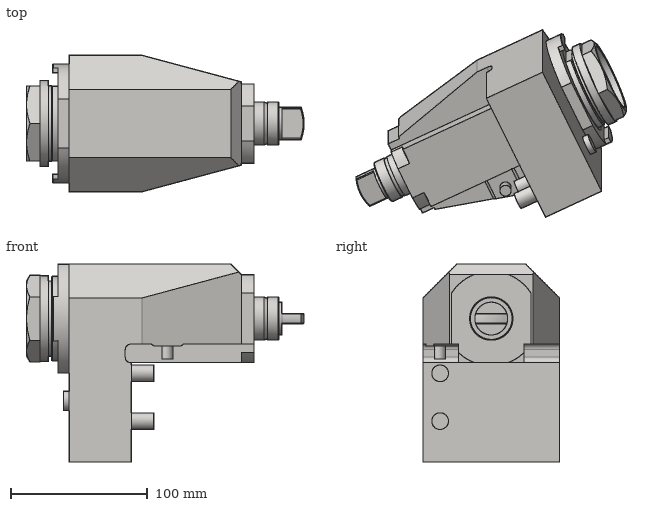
import cadquery as cq
import math


width = 100.0
half_width = width / 2
height = 145.0
axis_to_top = 40.0
axis_to_base = height - axis_to_top
leg_length = 45.5
body_end = 126.0
body_bottom = -18.7
top_bevel = 25.0
front_bevel = 7.7
taper_start = 53.2
taper_angle = 15
taper_drop = (body_end - taper_start) * math.tan(math.radians(taper_angle))

keel_half_width = 24.0
keel_bottom = -32.3
relief_start = 41.0
relief_radius = 4.0

nose_end = 135.3
nose_radius = 34.5
nose_half_height = 32.0
nose_half_width = 29.0
sleeve_radius = 15.8
sleeve_end = 153.3
sleeve_chamfer = 0.6
groove_start = 142.4
groove_end = 145.0
groove_depth = 1.0

flange_thickness = 8.1
flange_radius = 43.7
flange_half_height = 39.8
lug_length = 3.9
lug_inner = 37.0
lug_half_height = 16.2
lug_chamfer = 0.5

stud_radius = 6.0
stud_length = 16.5
stud_y = -37.4
stud_heights = (-40.0, -75.0)
button_radius = 7.1
button_length = 4.3
button_y = -25.0
button_z = -60.1
pin_radius = 4.0
pin_x = 72.0
pin_y = -37.4
pin_bottom = -29.7
pad_root_length = 23.5
pad_face_length = 20.0
pad_height = 1.2

spindle_rear = -31.3
spindle_radius = 12.0
seat_radius = 32.3
hex_across_flats = 55.0
hex_front = -21.3
hex_face_radius = 27.2
hex_chamfer_angle = 30
recess_radius = 24.4
recess_depth = 5.0
recess_chamfer = 0.5
collar_radius = 31.5
collar_front = -15.2
neck_radius = 27.6
neck_front = -13.0
ring_radius = 31.0
ring_chamfer = 0.8
ring_half_flats = 27.5
spindle_front = 155.5

tang_tip = 171.8
tang_half_height = 3.9
tang_bulge = 2.2
tang_chamfer = 0.6


def cylinder_x(radius, x_start, x_end, y=0, z=0):
    """Solid cylinder parallel to the X axis."""
    disc = cq.Workplane("YZ", origin=(x_start, y, z)).circle(radius)
    return disc.extrude(x_end - x_start)


def block(x_range, y_range, z_range):
    """Rectangular block given by its limits along each axis."""
    lows, highs = zip(x_range, y_range, z_range)
    size = [high - low for low, high in zip(lows, highs)]
    return cq.Workplane("XY").box(*size, centered=False).translate(lows)


def turned(profile):
    """Solid of revolution about the X axis from (x, radius) points."""
    outline = cq.Workplane("XY").polyline(profile).close()
    return outline.revolve(360, (0, 0, 0), (1, 0, 0))


def make_block():
    """L-shaped side outline, trimmed by the tapered plan and the bevelled roof."""
    side = (
        cq.Workplane("XZ", origin=(0, half_width, 0))
        .moveTo(0, -axis_to_base)
        .lineTo(leg_length, -axis_to_base)
        .lineTo(leg_length, body_bottom)
        .lineTo(body_end, body_bottom)
        .lineTo(body_end, axis_to_top - front_bevel)
        .lineTo(body_end - front_bevel, axis_to_top)
        .lineTo(0, axis_to_top)
        .close()
        .extrude(width)
    )
    end_half_width = half_width - taper_drop
    plan = (
        cq.Workplane("XY", origin=(0, 0, -axis_to_base))
        .moveTo(0, -half_width)
        .lineTo(taper_start, -half_width)
        .lineTo(body_end, -end_half_width)
        .lineTo(body_end, end_half_width)
        .lineTo(taper_start, half_width)
        .lineTo(0, half_width)
        .close()
        .extrude(height)
    )
    roof = block((0, body_end), (-half_width, half_width), (-axis_to_base, axis_to_top))
    roof = roof.edges("|X and >Z").chamfer(top_bevel)
    return side.intersect(plan).intersect(roof)


def make_relief():
    """Round-cornered channel across the leg, left open towards the nose."""
    channel = block((relief_start, body_end), (-half_width, half_width), (keel_bottom, body_bottom))
    return channel.edges("|Y and <X").fillet(relief_radius)


def make_pin_with_pad():
    """Vertical pin hanging from a shallow pad that ends flush with the tapered side."""
    pad_face_z = body_bottom - pad_height
    pad = (
        cq.Workplane("XZ", origin=(0, -keel_half_width, 0))
        .moveTo(pin_x - pad_root_length / 2, body_bottom)
        .lineTo(pin_x - pad_face_length / 2, pad_face_z)
        .lineTo(pin_x + pad_face_length / 2, pad_face_z)
        .lineTo(pin_x + pad_root_length / 2, body_bottom)
        .close()
        .extrude(half_width - keel_half_width)
    )
    side_trim = (
        cq.Workplane("XY", origin=(0, 0, pad_face_z))
        .moveTo(taper_start, 0)
        .lineTo(taper_start, -half_width)
        .lineTo(body_end, -half_width + taper_drop)
        .lineTo(body_end, 0)
        .close()
        .extrude(pad_height)
    )
    pin = cq.Workplane("XY", origin=(pin_x, pin_y, pin_bottom)).circle(pin_radius)
    return pad.intersect(side_trim).union(pin.extrude(body_bottom - pin_bottom))


def make_nose():
    """Flattened disc, wider above the body's underside than below it."""
    disc = cylinder_x(nose_radius, body_end, nose_end)
    nose_x = (body_end, nose_end)
    upper = block(nose_x, (-nose_half_width, nose_half_width), (body_bottom, nose_half_height))
    lower = block(nose_x, (-keel_half_width, keel_half_width), (keel_bottom, body_bottom))
    return disc.intersect(upper.union(lower))


def make_sleeve():
    """Sleeve ahead of the nose, with a tapered seal groove and a chamfered rim."""
    return turned([
        (nose_end, 0),
        (nose_end, sleeve_radius),
        (groove_start, sleeve_radius),
        (groove_end, sleeve_radius - groove_depth),
        (groove_end, sleeve_radius),
        (sleeve_end - sleeve_chamfer, sleeve_radius),
        (sleeve_end, sleeve_radius - sleeve_chamfer),
        (sleeve_end, 0),
    ])


def make_flange():
    """Round flange with flat top and bottom, and a lug at each side."""
    flange_x = (-flange_thickness, 0)
    across = (-flange_radius, flange_radius)
    flange = cylinder_x(flange_radius, *flange_x)
    flange = flange.intersect(block(flange_x, across, (-flange_half_height, flange_half_height)))

    lug_x = (-flange_thickness - lug_length, -flange_thickness)
    lugs = cylinder_x(flange_radius, *lug_x).faces("<X").chamfer(lug_chamfer)
    lugs = lugs.intersect(block(lug_x, across, (-lug_half_height, lug_half_height)))
    lugs = lugs.cut(block(lug_x, (-lug_inner, lug_inner), (-lug_half_height, lug_half_height)))
    return flange.union(lugs)


def make_housing():
    keel = block(
        (relief_start, body_end), (-keel_half_width, keel_half_width), (keel_bottom, body_bottom)
    )
    body = make_block().cut(make_relief()).union(keel)
    body = body.union(make_nose()).union(make_sleeve())
    body = body.union(make_flange()).union(make_pin_with_pad())
    for stud_z in stud_heights:
        body = body.union(cylinder_x(stud_radius, leg_length, leg_length + stud_length, stud_y, stud_z))
    body = body.union(cylinder_x(button_radius, -button_length, 0, button_y, button_z))

    body = body.cut(cylinder_x(seat_radius, -flange_thickness, 0))
    return body.cut(cylinder_x(spindle_radius, 0, sleeve_end))


def make_hex_head():
    """Hexagonal head with corners up and down, chamfered and recessed at the rear."""
    hex_corner_radius = hex_across_flats / math.sqrt(3)
    corner_drop = (hex_corner_radius - hex_face_radius) * math.tan(math.radians(hex_chamfer_angle))
    head = (
        cq.Workplane("YZ", origin=(spindle_rear, 0, 0))
        .polygon(6, 2 * hex_corner_radius)
        .extrude(hex_front - spindle_rear)
        .rotate((0, 0, 0), (1, 0, 0), 90)
    )
    chamfer_envelope = turned([
        (spindle_rear, 0),
        (spindle_rear, hex_face_radius),
        (spindle_rear + corner_drop, hex_corner_radius),
        (hex_front, hex_corner_radius),
        (hex_front, 0),
    ])
    recess = turned([
        (spindle_rear, 0),
        (spindle_rear, recess_radius + recess_chamfer),
        (spindle_rear + recess_chamfer, recess_radius),
        (spindle_rear + recess_depth, recess_radius),
        (spindle_rear + recess_depth, 0),
    ])
    return head.intersect(chamfer_envelope).cut(recess)


def make_flatted_ring():
    """Chamfered ring with a wrench flat at each side."""
    ring = turned([
        (neck_front, 0),
        (neck_front, ring_radius - ring_chamfer),
        (neck_front + ring_chamfer, ring_radius),
        (-flange_thickness, ring_radius),
        (-flange_thickness, 0),
    ])
    flats = block(
        (neck_front, -flange_thickness),
        (-ring_half_flats, ring_half_flats),
        (-ring_radius, ring_radius),
    )
    return ring.intersect(flats)


def make_tang():
    """Round bar with a domed end, flattened above and below into a chamfered drive tang."""
    dome_edge_x = tang_tip - tang_bulge
    dome_radius = (spindle_radius ** 2 + tang_bulge ** 2) / (2 * tang_bulge)
    half_outline = (
        cq.Workplane("XY")
        .moveTo(spindle_front, 0)
        .lineTo(spindle_front, spindle_radius)
        .lineTo(dome_edge_x, spindle_radius)
        .radiusArc((tang_tip, 0), dome_radius)
        .close()
    )
    bar = half_outline.revolve(360, (0, 0, 0), (1, 0, 0))
    across = (-spindle_radius, spindle_radius)
    slab = block((spindle_front, tang_tip), across, (-tang_half_height, tang_half_height))
    tang = bar.intersect(slab)
    return tang.faces("|Z").edges("not <X").chamfer(tang_chamfer)


def make_spindle():
    body = make_hex_head()
    body = body.union(cylinder_x(collar_radius, hex_front, collar_front))
    body = body.union(cylinder_x(neck_radius, collar_front, neck_front))
    body = body.union(make_flatted_ring())
    body = body.union(cylinder_x(seat_radius, -flange_thickness, 0))
    body = body.union(cylinder_x(spindle_radius, 0, spindle_front))
    return body.union(make_tang())


housing = make_housing()
spindle = make_spindle()

result = cq.Compound.makeCompound([housing.val(), spindle.val()])